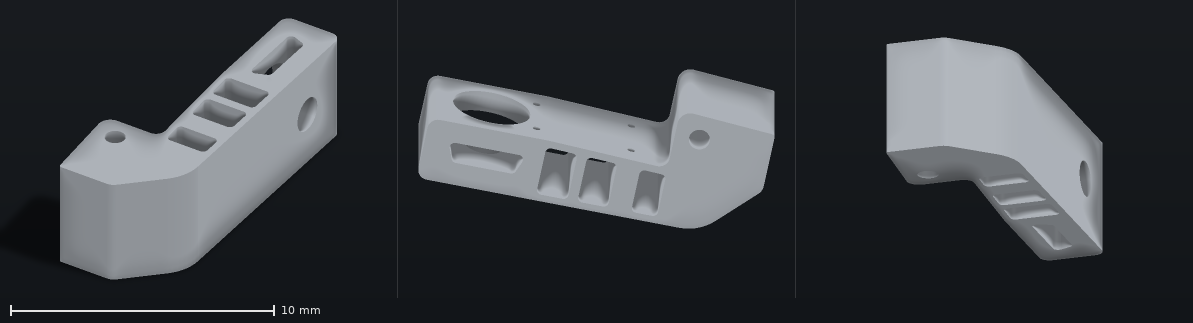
import cadquery as cq
import math

WIDTH = 4.7
LENGTH = 13.0
THICKNESS = 4.4

SHOULDER_Y = 3.73
FOOT_LEFT_X = 0.23
FOOT_LEAN = math.radians(4.1)
FOOT_BOTTOM_RIGHT_X = 2.59
BEVEL_TOP_Y = 2.04
ARM_WIDTH = 2.51
TAPER_START_Y = 8.41
TAPER_ANGLE = math.radians(2.6)

TIP_RADIUS = 0.4
SHOULDER_RADIUS = 0.5
INNER_CORNER_RADIUS = 0.4
BEVEL_RADIUS = 1.81
BOTTOM_RIGHT_RADIUS = 0.5
BOTTOM_LEFT_RADIUS = 0.1

WINDOW_SPANS = [(3.72, 4.73), (5.63, 6.81), (7.19, 8.41)]
WINDOW_WALL_LEFT = 0.29
WINDOW_WALL_RIGHT = 0.27
WINDOW_RADIUS = 0.2

BORE_Y = 10.6
SLOT_LEFT_X = 3.0
SLOT_WIDTH = 0.8
SLOT_HALF_LEFT = 1.51
SLOT_HALF_RIGHT = 1.2
SLOT_RADIUS = 0.2
COUNTERBORE_DIAMETER = 3.0
BORE_DIAMETER = 1.4

PIVOT_DIAMETER = 0.8
PIVOT_X = 1.0
PIVOT_Y = 2.78

PIN_DIAMETER = 0.3
PIN_DEPTH = 0.5
PIN_YS = (5.15, 8.85)
PIN_SPACING_Z = 2.4

ARM_LEFT_X = WIDTH - ARM_WIDTH


def arm_left_at(y):
    """X of the left face of the arm, which leans inward below the taper start."""
    return ARM_LEFT_X + max(0, TAPER_START_Y - y) * math.tan(TAPER_ANGLE)


def prism(points):
    """Extrude a closed polygon through the full thickness."""
    return cq.Workplane("XY").polyline(points).close().extrude(THICKNESS / 2, both=True)


def round_upright_edge(solid, point, radius):
    """Fillet the upright edge that passes through the given outline point."""
    nearest = cq.selectors.NearestToPointSelector((point[0], point[1], 0))
    return solid.edges("|Z").edges(nearest).fillet(radius)


def x_cylinder(diameter, start_x, end_x, y, z=0):
    """Cylinder along X between two X positions."""
    base = cq.Workplane("YZ", origin=(start_x, y, z))
    return base.circle(diameter / 2).extrude(end_x - start_x)


def make_body():
    bottom_left = (FOOT_LEFT_X, 0)
    bottom_right = (FOOT_BOTTOM_RIGHT_X, 0)
    bevel_top = (WIDTH, BEVEL_TOP_Y)
    tip_right = (WIDTH, LENGTH)
    tip_left = (ARM_LEFT_X, LENGTH)
    taper_start = (ARM_LEFT_X, TAPER_START_Y)
    inner_corner = (arm_left_at(SHOULDER_Y), SHOULDER_Y)
    shoulder = (FOOT_LEFT_X - SHOULDER_Y * math.tan(FOOT_LEAN), SHOULDER_Y)

    body = prism([
        bottom_left, bottom_right, bevel_top, tip_right,
        tip_left, taper_start, inner_corner, shoulder,
    ])
    rounded_corners = [
        (bottom_left, BOTTOM_LEFT_RADIUS),
        (bottom_right, BOTTOM_RIGHT_RADIUS),
        (bevel_top, BEVEL_RADIUS),
        (tip_right, TIP_RADIUS),
        (tip_left, TIP_RADIUS),
        (inner_corner, INNER_CORNER_RADIUS),
        (shoulder, SHOULDER_RADIUS),
    ]
    for point, radius in rounded_corners:
        body = round_upright_edge(body, point, radius)
    return body


def make_window(low_y, high_y):
    """Rounded window whose left side runs parallel to the tapered arm face."""
    right_x = WIDTH - WINDOW_WALL_RIGHT
    window = prism([
        (arm_left_at(low_y) + WINDOW_WALL_LEFT, low_y),
        (right_x, low_y),
        (right_x, high_y),
        (arm_left_at(high_y) + WINDOW_WALL_LEFT, high_y),
    ])
    return window.edges("|Z").fillet(WINDOW_RADIUS)


def make_sharp_slot():
    right_x = SLOT_LEFT_X + SLOT_WIDTH
    return prism([
        (SLOT_LEFT_X, BORE_Y - SLOT_HALF_LEFT),
        (right_x, BORE_Y - SLOT_HALF_RIGHT),
        (right_x, BORE_Y + SLOT_HALF_RIGHT),
        (SLOT_LEFT_X, BORE_Y + SLOT_HALF_LEFT),
    ])


def make_slot():
    """Rounded slot whose left corners are cleared to the sharp profile at the counterbore."""
    sharp = make_sharp_slot()
    rounded = sharp.edges("|Z").fillet(SLOT_RADIUS)
    entry_end_x = SLOT_LEFT_X + SLOT_WIDTH / 2
    entry = x_cylinder(COUNTERBORE_DIAMETER, SLOT_LEFT_X, entry_end_x, BORE_Y)
    return rounded.union(entry.intersect(sharp))


result = make_body()

for low_y, high_y in WINDOW_SPANS:
    result = result.cut(make_window(low_y, high_y))

result = result.cut(make_slot())
result = result.cut(x_cylinder(COUNTERBORE_DIAMETER, ARM_LEFT_X, SLOT_LEFT_X, BORE_Y))
result = result.cut(x_cylinder(BORE_DIAMETER, SLOT_LEFT_X, WIDTH, BORE_Y))

pivot = cq.Workplane("XY").center(PIVOT_X, PIVOT_Y).circle(PIVOT_DIAMETER / 2)
result = result.cut(pivot.extrude(THICKNESS / 2, both=True))

for pin_y in PIN_YS:
    for pin_z in (-PIN_SPACING_Z / 2, PIN_SPACING_Z / 2):
        pin_end_x = arm_left_at(pin_y) + PIN_DEPTH
        result = result.cut(x_cylinder(PIN_DIAMETER, ARM_LEFT_X, pin_end_x, pin_y, pin_z))